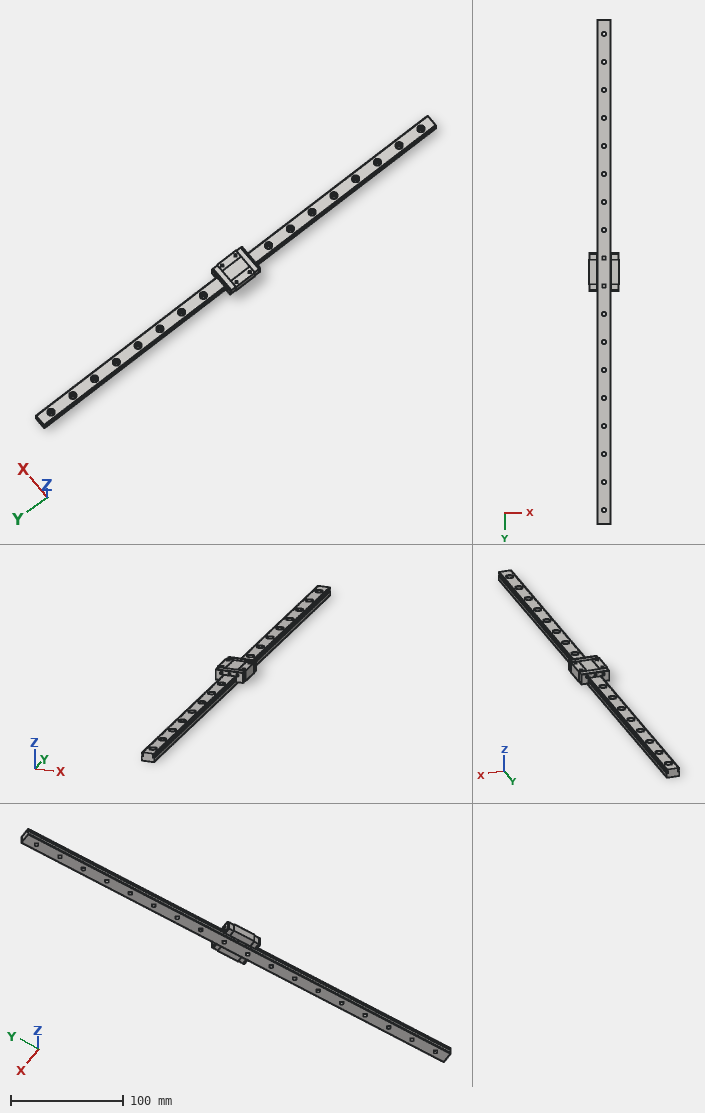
import cadquery as cq

RAIL_LENGTH = 450.0
RAIL_WIDTH = 12.0
RAIL_HEIGHT = 8.0
RAIL_CHAMFER = 0.6
GROOVE_DEPTH = 1.5
GROOVE_HEIGHT = 2.2
GROOVE_CENTRE_Z = 5.5

MOUNT_COUNT = 18
MOUNT_PITCH = RAIL_LENGTH / MOUNT_COUNT
MOUNT_BORE = 3.5
MOUNT_HEAD = 6.0
MOUNT_HEAD_DEPTH = 4.5
MOUNT_CHAMFER = 0.5

CARRIAGE_WIDTH = 27.0
CARRIAGE_LENGTH = 34.5
CARRIAGE_TOP = 13.0
CARRIAGE_BOTTOM = 3.0
CAP_LENGTH = 5.0
SEAL_THICKNESS = 1.55
BLOCK_LENGTH = CARRIAGE_LENGTH - 2 * (CAP_LENGTH + SEAL_THICKNESS)
RAIL_GAP = 0.5

END_INSET = 0.5
END_WIDTH = CARRIAGE_WIDTH - 2 * END_INSET
END_TOP = CARRIAGE_TOP - END_INSET

PANEL_WIDTH = RAIL_WIDTH
PANEL_DEPTH = 0.22
THREAD_DIAMETER = 2.5
THREAD_DEPTH = 3.5
THREAD_SPACING_X = 20.2
THREAD_SPACING_Y = 15.5

SEAL_HOLE_COUNT = 3
SEAL_HOLE_DIAMETER = 2.3
SEAL_HOLE_PITCH = 7.5
SEAL_HOLE_Z = 10.0


def bar(width, length, bottom, top):
    """A rectangular bar along Y, centred on x = 0 and y = 0."""
    return (
        cq.Workplane("XY", origin=(0, 0, bottom))
        .box(width, length, top - bottom, centered=(True, True, False))
    )


def make_rail():
    rail = bar(RAIL_WIDTH, RAIL_LENGTH, 0, RAIL_HEIGHT).edges("|Y").chamfer(RAIL_CHAMFER)

    groove = bar(
        2 * GROOVE_DEPTH,
        RAIL_LENGTH,
        GROOVE_CENTRE_Z - GROOVE_HEIGHT / 2,
        GROOVE_CENTRE_Z + GROOVE_HEIGHT / 2,
    )
    for side in (-1, 1):
        rail = rail.cut(groove.translate((side * RAIL_WIDTH / 2, 0, 0)))

    rail = (
        rail.faces(">Z")
        .workplane(origin=(0, 0, RAIL_HEIGHT))
        .rarray(4.5, MOUNT_PITCH, 1, MOUNT_COUNT)
        .cboreHole(MOUNT_BORE, MOUNT_HEAD, MOUNT_HEAD_DEPTH)
    )
    return rail.faces(">Z").edges("%CIRCLE").chamfer(MOUNT_CHAMFER)


def saddle(width, length, top):
    """A bar that straddles the rail with a small gap all round."""
    tunnel = bar(RAIL_WIDTH + 2 * RAIL_GAP, length, 0, RAIL_HEIGHT + RAIL_GAP)
    return bar(width, length, CARRIAGE_BOTTOM, top).cut(tunnel)


def make_block():
    block = saddle(CARRIAGE_WIDTH, BLOCK_LENGTH, CARRIAGE_TOP)
    panel = bar(PANEL_WIDTH, BLOCK_LENGTH, CARRIAGE_TOP - PANEL_DEPTH, CARRIAGE_TOP)
    threads = (
        cq.Workplane("XY", origin=(0, 0, CARRIAGE_TOP - THREAD_DEPTH))
        .rarray(THREAD_SPACING_X, THREAD_SPACING_Y, 2, 2)
        .circle(THREAD_DIAMETER / 2)
        .extrude(THREAD_DEPTH)
    )
    return block.cut(panel).cut(threads)


def make_cap():
    """The end cap on the +Y end of the block."""
    centre_y = (BLOCK_LENGTH + CAP_LENGTH) / 2
    return saddle(END_WIDTH, CAP_LENGTH, END_TOP).translate((0, centre_y, 0))


def make_seal():
    """The end seal on the outer face of the +Y cap."""
    centre_y = (CARRIAGE_LENGTH - SEAL_THICKNESS) / 2
    holes = (
        cq.Workplane("XZ", origin=(0, SEAL_THICKNESS / 2, SEAL_HOLE_Z))
        .rarray(SEAL_HOLE_PITCH, 4.5, SEAL_HOLE_COUNT, 1)
        .circle(SEAL_HOLE_DIAMETER / 2)
        .extrude(SEAL_THICKNESS)
    )
    return saddle(END_WIDTH, SEAL_THICKNESS, END_TOP).cut(holes).translate((0, centre_y, 0))


rail = make_rail()
block = make_block()

caps = []
seals = []
for turn in (0, 180):
    caps.append(make_cap().rotate((0, 0, 0), (0, 0, 1), turn).val())
    seals.append(make_seal().rotate((0, 0, 0), (0, 0, 1), turn).val())

result = cq.Compound.makeCompound([rail.val(), block.val(), *caps, *seals])